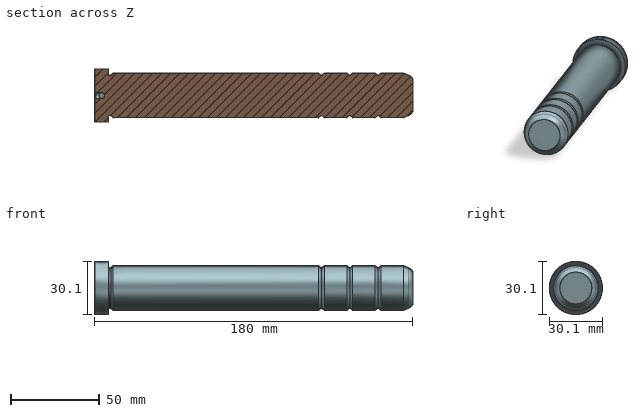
import cadquery as cq

total_length = 180.0
head_radius = 15.03
head_length = 8.0
shaft_radius = 12.6

neck_radius = 11.5
neck_length = 1.3
neck_chamfer_length = 1.3

groove_count = 3
first_groove_x = 128.2
groove_pitch = 16.0
groove_half_width = 1.6
groove_depth = 1.3

taper_start_x = 174.6
corner_start_x = 177.3
corner_start_radius = 11.5
end_face_radius = 9.0

hole_diameter = 3.2
countersink_diameter = 5.0
countersink_depth = (countersink_diameter - hole_diameter) / 2
radial_hole_x = head_length / 2


def make_pin():
    """Revolve the half outline of head, neck, shaft and lead-in about X."""
    neck_end_x = head_length + neck_length
    return (
        cq.Workplane("XY")
        .lineTo(0, head_radius)
        .lineTo(head_length, head_radius)
        .lineTo(head_length, neck_radius)
        .lineTo(neck_end_x, neck_radius)
        .lineTo(neck_end_x + neck_chamfer_length, shaft_radius)
        .lineTo(taper_start_x, shaft_radius)
        .lineTo(corner_start_x, corner_start_radius)
        .tangentArcPoint((total_length, end_face_radius), relative=False)
        .lineTo(total_length, 0)
        .close()
        .revolve(360, (0, 0, 0), (1, 0, 0))
    )


def make_groove(center_x):
    """Ring with a V section whose tip points at the axis."""
    return (
        cq.Workplane("XY")
        .moveTo(center_x - groove_half_width, shaft_radius)
        .lineTo(center_x, shaft_radius - groove_depth)
        .lineTo(center_x + groove_half_width, shaft_radius)
        .close()
        .revolve(360, (0, 0, 0), (1, 0, 0))
    )


def make_countersunk_hole(mouth, direction, depth):
    """Round hole with a 90 degree countersink at its mouth."""
    hole = cq.Solid.makeCylinder(hole_diameter / 2, depth, mouth, direction)
    countersink = cq.Solid.makeCone(
        countersink_diameter / 2, hole_diameter / 2, countersink_depth, mouth, direction
    )
    return cq.Workplane(obj=hole.fuse(countersink))


result = make_pin()
for index in range(groove_count):
    result = result.cut(make_groove(first_groove_x + index * groove_pitch))

axial_hole = make_countersunk_hole(cq.Vector(0, 0, 0), cq.Vector(1, 0, 0), radial_hole_x)
radial_hole = make_countersunk_hole(
    cq.Vector(radial_hole_x, 0, head_radius),
    cq.Vector(0, 0, -1),
    head_radius + hole_diameter / 2,
)
result = result.cut(axial_hole).cut(radial_hole)